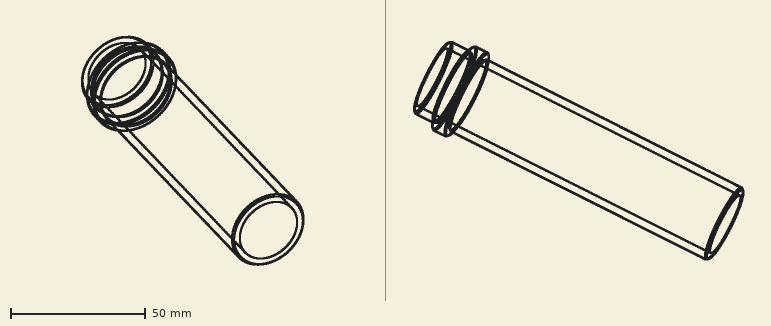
import cadquery as cq

length = 124.0
tube_diameter = 30.0
bore_diameter = 24.0
end_chamfer = 0.6

collar_diameter = 35.0
collar_start = 9.0
collar_width = 6.0
collar_chamfer = 0.5

groove_diameter = 29.3
front_groove_width = 1.0
rear_groove_width = 0.6

start_x = -length / 2
collar_x = start_x + collar_start


def cylinder(x, width, diameter):
    """Solid cylinder along +X starting at x."""
    return cq.Workplane("YZ", origin=(x, 0, 0)).circle(diameter / 2).extrude(width)


def groove(x, width):
    """Ring that cuts a groove into the outside of the tube."""
    return cylinder(x, width, collar_diameter).cut(cylinder(x, width, groove_diameter))


body = cylinder(start_x, length, tube_diameter).edges("%CIRCLE").chamfer(end_chamfer)

body = body.cut(groove(collar_x - front_groove_width, front_groove_width))
body = body.cut(groove(collar_x + collar_width, rear_groove_width))

collar = cylinder(collar_x, collar_width, collar_diameter).edges("%CIRCLE").chamfer(collar_chamfer)
body = body.union(collar)

result = body.cut(cylinder(start_x, length, bore_diameter))